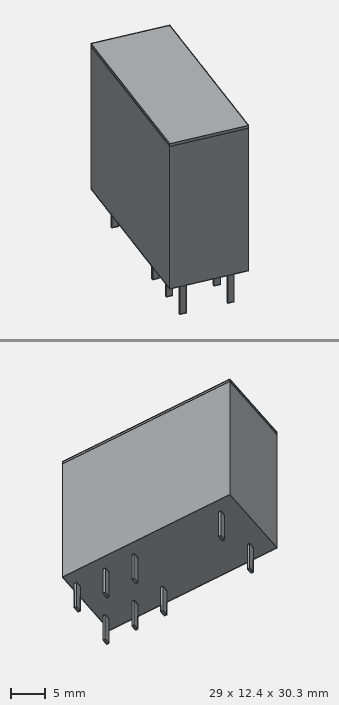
import cadquery as cq

LENGTH = 29.0
WIDTH = 12.4
TOTAL_HEIGHT = 30.3

PIN_LENGTH = 5.3
LID_THICKNESS = 0.48
HOUSING_HEIGHT = TOTAL_HEIGHT - PIN_LENGTH - LID_THICKNESS

PIN_THICKNESS = 0.4
PIN_WIDTH = 1.0
PIN_PITCH = 5.0
ROW_SPACING = 7.5
COIL_PIN_INSET = 3.03
COIL_TO_CONTACT = 3 * PIN_PITCH
CONTACTS_PER_ROW = 3


def pin_centers():
    """One coil pin and a group of contact pins in each of the two rows."""
    coil_x = COIL_PIN_INSET - LENGTH / 2
    first_contact_x = coil_x + COIL_TO_CONTACT
    contact_xs = [first_contact_x + i * PIN_PITCH for i in range(CONTACTS_PER_ROW)]
    row_ys = (-ROW_SPACING / 2, ROW_SPACING / 2)
    return [(x, y) for x in [coil_x, *contact_xs] for y in row_ys]


def make_housing():
    """Plain block standing on Z = 0 with its pins extending below it."""
    block = cq.Workplane("XY").rect(LENGTH, WIDTH).extrude(HOUSING_HEIGHT)
    pins = (
        cq.Workplane("XY")
        .pushPoints(pin_centers())
        .rect(PIN_THICKNESS, PIN_WIDTH)
        .extrude(-PIN_LENGTH)
    )
    return block.union(pins)


def make_lid():
    """Thin plate lying flush on top of the housing."""
    return (
        cq.Workplane("XY")
        .workplane(offset=HOUSING_HEIGHT)
        .rect(LENGTH, WIDTH)
        .extrude(LID_THICKNESS)
    )


housing = make_housing()
lid = make_lid()
result = cq.Compound.makeCompound([housing.solids().val(), lid.val()])